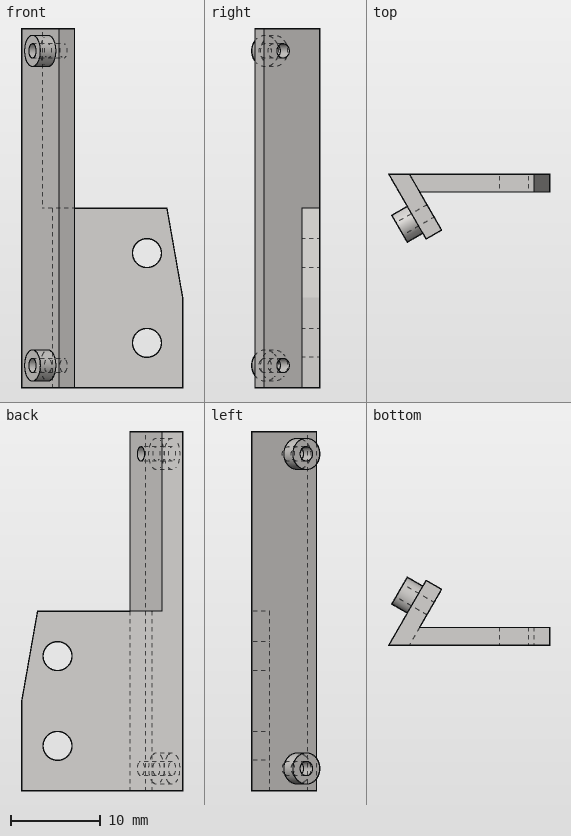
import cadquery as cq
import math

strip_height = 40.0
strip_width = 8.35
strip_thickness = 2.0
strip_angle = 60.0

flange_reach = 17.95
flange_height = 20.0
flange_thickness = 2.0
taper_start = flange_height / 2
taper_angle = 10.0
flange_hole_diameter = 3.2
flange_hole_inset = 4.0
flange_hole_x = flange_reach - flange_hole_inset
flange_hole_heights = (flange_height / 4, 3 * flange_height / 4)

collar_diameter = 3.5
collar_length = 2.0
bore_diameter = 1.6
collar_offset = 5.9
collar_end_distance = 2.5
collar_heights = (collar_end_distance, strip_height - collar_end_distance)

slant_cos = math.cos(math.radians(strip_angle))
slant_sin = math.sin(math.radians(strip_angle))
along_strip = cq.Vector(slant_cos, -slant_sin, 0)
outward = cq.Vector(-slant_sin, -slant_cos, 0)
strip_back_width = strip_thickness / slant_sin


def outer_face_plane(height):
    """Plane on the strip's outer face, centred on the collar at this height."""
    center = along_strip * collar_offset + cq.Vector(0, 0, height)
    return cq.Plane(origin=center, xDir=along_strip, normal=outward)


def make_strip():
    """Upright strip, cut flush with the back of the flange."""
    outer_end = along_strip * strip_width
    inner_end = outer_end - outward * strip_thickness
    return (
        cq.Workplane("XY")
        .moveTo(0, 0)
        .lineTo(outer_end.x, outer_end.y)
        .lineTo(inner_end.x, inner_end.y)
        .lineTo(strip_back_width, 0)
        .close()
        .extrude(strip_height)
    )


def make_flange():
    """Flat flange with a tapered upper end and two mounting holes."""
    taper_run = (flange_height - taper_start) * math.tan(math.radians(taper_angle))
    root_x = strip_back_width / 2
    root_shift = flange_thickness * slant_cos / slant_sin
    root = (
        cq.Workplane("XY")
        .moveTo(root_x, 0)
        .lineTo(flange_reach, 0)
        .lineTo(flange_reach, -flange_thickness)
        .lineTo(root_x + root_shift, -flange_thickness)
        .close()
        .extrude(flange_height)
    )
    outline = (
        cq.Workplane("XZ")
        .moveTo(0, 0)
        .lineTo(flange_reach, 0)
        .lineTo(flange_reach, taper_start)
        .lineTo(flange_reach - taper_run, flange_height)
        .lineTo(0, flange_height)
        .close()
        .extrude(flange_thickness)
    )
    holes = (
        cq.Workplane("XZ")
        .pushPoints([(flange_hole_x, height) for height in flange_hole_heights])
        .circle(flange_hole_diameter / 2)
        .extrude(flange_thickness)
    )
    return root.intersect(outline).cut(holes)


def make_bracket():
    """Strip and flange as one body, with the collar bores carried through the strip."""
    body = make_strip().union(make_flange())
    for height in collar_heights:
        bore = (
            cq.Workplane(outer_face_plane(height))
            .circle(bore_diameter / 2)
            .extrude(-strip_thickness)
        )
        body = body.cut(bore)
    return body


def make_collar(height):
    """Plain bored collar standing on the strip's outer face."""
    return (
        cq.Workplane(outer_face_plane(height))
        .circle(collar_diameter / 2)
        .circle(bore_diameter / 2)
        .extrude(collar_length)
    )


bracket = make_bracket()
collars = [make_collar(height) for height in collar_heights]

result = cq.Compound.makeCompound([bracket.val(), *[collar.val() for collar in collars]])